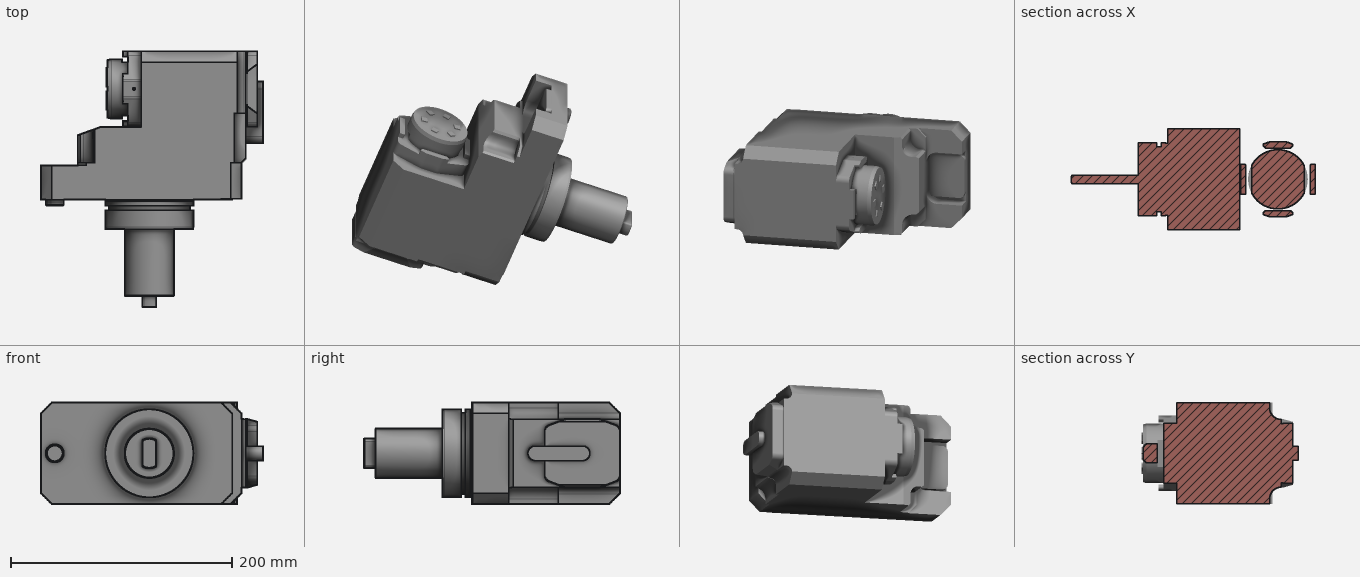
import cadquery as cq
import math

height = 92.0
half_height = height / 2
chamfer = 10.0

plate_left, plate_right = -98.0, 83.5
plate_back = 30.8
plate_raised_back = 33.4
raised_left = -65.0
raised_chamfer = 7.6
pad_height = 0.7
pad_right = 74.9

slot_half_width, slot_corner = 24.0, 9.7
slot_floor = 15.5
key_half_width, key_corner = 20.2, 5.0
key_thickness = 4.9
key_inset = 0.2

pin_x = -85.5
pin_diameter, pin_length, pin_chamfer = 16.5, 5.8, 1.2
pin_flat_depth, pin_flat_angle = 0.2, 130

flange_diameter, flange_edge_diameter = 80.0, 79.5
groove_diameter = 73.7
flange_rim_start = 1.5
groove_start, groove_end = 5.8, 9.5
flange_edge_start, flange_end = 24.8, 26.7
shank_diameter, shank_end, shank_chamfer = 45.0, 87.5, 0.7
tang_width, tang_span, tang_end = 13.0, 27.4, 97.5
tang_fillet, tang_chamfer = 2.0, 0.7

housing_back = 134.2
housing_left = -7.5
housing_right = 87.5
shoulder_back = 65.8
shoulder_slope_end = -43.8
shoulder_left_back = 58.2
front_corner_chamfer = 4.0
left_wall, left_wall_bottom = -50.8, 36.2
left_notch_radius = 9.0
left_edge_chamfer_x, left_edge_chamfer_z = 1.5, 2.0
left_lip_x, left_lip_z = 2.3, 25.5
spotface_diameter, spotface_y = 6.3, 58.2
lower_wall, lower_radius = 77.0, 10.2
upper_wall, upper_radius = 79.5, 5.8
right_ledge_z = 30.8
lower_back = 78.1

output_y = 100.1
collar_half_y = housing_back - output_y
collar_half_z = 34.0
collar_flat_half, collar_corner_z, collar_fillet = 7.9, 24.0, 5.8
collar_face = -19.5
lug_face = -23.9
lug_half_width = 13.7
lug_inner_y, lug_inner_z = 29.0, 28.0
lug_bevel = 2.3
oil_hole_diameter, oil_hole_depth, oil_hole_x = 2.0, 4.6, -14.0
disc_diameter, disc_face_diameter = 54.0, 52.2
disc_flat_start, disc_bevel_back, disc_face = -24.5, -34.5, -38.0
disc_flat_half = 24.0
tooth_count, tooth_size, tooth_height = 6, 5.8, 1.2
tooth_radius, tooth_start_angle = 16.0, -9.0
cover_face = 97.8
cover_start, cover_neck_inset = 88.8, 0.7
cover_half_z, cover_face_half_z = 31.0, 28.5
bar_width = 13.2
bar_front, bar_back, bar_face = 50.8, 106.9, 103.0


def box(x0, x1, y0, y1, z0, z1):
    return cq.Workplane("XY").box(x1 - x0, y1 - y0, z1 - z0, centered=False).translate((x0, y0, z0))


def prism_along_y(points, y0, y1):
    """Extrude an XZ outline from Y = y0 to Y = y1."""
    return cq.Workplane("XZ", origin=(0, y0, 0)).polyline(points).close().extrude(y0 - y1)


def prism_along_x(points, x0, x1):
    """Extrude a YZ outline from X = x0 to X = x1."""
    return cq.Workplane("YZ", origin=(x0, 0, 0)).polyline(points).close().extrude(x1 - x0)


def disc_along_x(diameter, x0, x1):
    return cq.Workplane("YZ", origin=(x0, output_y, 0)).circle(diameter / 2).extrude(x1 - x0)


def chamfered_block(right, y0, y1):
    """Full-height block from the plate's left end with its four long corners chamfered."""
    block = box(plate_left, right, y0, y1, -half_height, half_height)
    return block.edges("|Y").chamfer(chamfer)


def make_plate():
    plate = chamfered_block(plate_right, pad_height, plate_back)
    plate = plate.union(chamfered_block(pad_right, 0, plate_back))
    raised = box(raised_left, plate_right, pad_height, plate_raised_back, -half_height, half_height)
    raised = raised.edges("|Y and <X").chamfer(raised_chamfer)
    raised = raised.edges("|Y and >X").chamfer(chamfer)
    plate = plate.union(raised)

    slot = box(plate_left, raised_left, slot_floor, plate_raised_back, -slot_half_width, slot_half_width)
    slot = slot.edges("|Y and >X").fillet(slot_corner)
    key = box(plate_left + key_inset, raised_left, slot_floor, slot_floor + key_thickness,
              -key_half_width, key_half_width)
    key = key.edges("|Y and <X").fillet(key_corner)
    return plate.cut(slot).union(key)


def make_pin():
    pin = cq.Workplane("XZ", origin=(pin_x, 0, 0)).circle(pin_diameter / 2).extrude(pin_length)
    pin = pin.faces("<Y").chamfer(pin_chamfer)
    flat_cut = (
        cq.Workplane("XY")
        .box(pin_diameter, 2 * pin_length, pin_diameter)
        .translate((pin_diameter - pin_flat_depth, -pin_length, 0))
        .rotate((0, 0, 0), (0, 1, 0), -pin_flat_angle)
        .translate((pin_x, 0, 0))
    )
    return pin.cut(flat_cut)


def make_spindle():
    rim, edge = flange_diameter / 2, flange_edge_diameter / 2
    groove, shank = groove_diameter / 2, shank_diameter / 2
    half_profile = [
        (0, 0), (edge, 0),
        (edge, -flange_rim_start), (rim, -flange_rim_start),
        (rim, -groove_start), (groove, -groove_start),
        (groove, -groove_end), (rim, -groove_end),
        (rim, -flange_edge_start), (edge, -flange_end),
        (shank, -flange_end), (shank, -shank_end + shank_chamfer),
        (shank - shank_chamfer, -shank_end), (0, -shank_end),
    ]
    spindle = cq.Workplane("XY").polyline(half_profile).close().revolve(360, (0, 0, 0), (0, 1, 0))
    tang = cq.Workplane("XZ", origin=(0, -shank_end, 0)).circle(tang_span / 2).extrude(tang_end - shank_end)
    tang = tang.intersect(box(-tang_width / 2, tang_width / 2, -tang_end, -shank_end,
                              -tang_span, tang_span))
    tang = tang.edges("|Y").fillet(tang_fillet)
    tang = tang.faces("<Y").chamfer(tang_chamfer)
    return spindle.union(tang)


def notched_section(wall, radius, y0, y1):
    """Housing section with rounded notches along all four corners."""
    bend = radius * math.sqrt(0.5)
    left_bend = left_notch_radius * math.sqrt(0.5)
    left_floor_z = left_wall_bottom - left_notch_radius
    left_arc_x, left_arc_z = left_wall - left_notch_radius, left_wall_bottom
    right_arc_x, right_arc_z = wall + radius, right_ledge_z + radius
    upper_half = (
        cq.Workplane("XZ", origin=(0, y0, 0))
        .moveTo(raised_left, 0)
        .lineTo(raised_left, left_lip_z)
        .lineTo(raised_left + left_lip_x, left_floor_z)
        .lineTo(left_arc_x, left_floor_z)
        .threePointArc((left_arc_x + left_bend, left_arc_z - left_bend), (left_wall, left_wall_bottom))
        .lineTo(left_wall, half_height - left_edge_chamfer_z)
        .lineTo(left_wall + left_edge_chamfer_x, half_height)
        .lineTo(wall, half_height)
        .lineTo(wall, right_arc_z)
        .threePointArc((right_arc_x - bend, right_arc_z - bend), (right_arc_x, right_ledge_z))
        .lineTo(housing_right, right_ledge_z)
        .lineTo(housing_right, 0)
        .close()
        .extrude(y0 - y1)
    )
    return upper_half.union(upper_half.mirror("XY"))


def make_housing():
    housing = notched_section(lower_wall, lower_radius, plate_back, lower_back)
    housing = housing.union(notched_section(upper_wall, upper_radius, lower_back, housing_back))

    plan = [
        (raised_left, plate_raised_back),
        (raised_left, shoulder_left_back),
        (shoulder_slope_end, shoulder_back),
        (housing_left, shoulder_back),
        (housing_left, housing_back),
        (housing_right, housing_back),
        (housing_right, plate_raised_back + front_corner_chamfer),
        (housing_right - front_corner_chamfer, plate_raised_back),
    ]
    plan_prism = (
        cq.Workplane("XY", origin=(0, 0, -half_height)).polyline(plan).close().extrude(height)
    )
    side = [
        (plate_raised_back, -half_height),
        (housing_back - chamfer, -half_height),
        (housing_back, -half_height + chamfer),
        (housing_back, half_height - chamfer),
        (housing_back - chamfer, half_height),
        (plate_raised_back, half_height),
    ]
    housing = housing.intersect(plan_prism).intersect(prism_along_x(side, raised_left, housing_right))

    spotface = (
        cq.Workplane("YZ", origin=(raised_left, spotface_y, left_wall_bottom))
        .circle(spotface_diameter / 2)
        .extrude(left_wall - raised_left)
    )
    return housing.cut(spotface)


def make_collar(x0, x1, inset=0):
    """Eight-sided collar with rounded corners, centred on the output axis and shrunk by the inset."""
    quarter = [(collar_flat_half, collar_half_z - inset), (collar_half_y - inset, collar_corner_z)]
    right_half = quarter + [(y, -z) for y, z in reversed(quarter)]
    outline = right_half + [(-y, -z) for y, z in right_half]
    collar = prism_along_x([(output_y + y, z) for y, z in outline], x0, x1)
    return collar.edges("|X").fillet(collar_fillet)


def make_left_output():
    output = make_collar(collar_face, housing_left)

    lug_stock = make_collar(lug_face, collar_face)
    for side in (-1, 1):
        end_lug = cq.Workplane("XY").box(
            collar_face - lug_face, collar_half_y - lug_inner_y, 2 * lug_half_width
        ).translate((
            (collar_face + lug_face) / 2,
            output_y + side * (collar_half_y + lug_inner_y) / 2,
            0,
        ))
        end_lug = end_lug.edges("|X and " + ("<Y" if side > 0 else ">Y")).fillet(lug_bevel / 2)
        top_lug = [
            (output_y - lug_half_width, side * (lug_inner_z + lug_bevel)),
            (output_y - lug_half_width + lug_bevel, side * lug_inner_z),
            (output_y + lug_half_width - lug_bevel, side * lug_inner_z),
            (output_y + lug_half_width, side * (lug_inner_z + lug_bevel)),
            (output_y + lug_half_width, side * collar_half_z),
            (output_y - lug_half_width, side * collar_half_z),
        ]
        output = output.union(end_lug)
        output = output.union(lug_stock.intersect(prism_along_x(top_lug, lug_face, collar_face)))

    oil_hole = (
        cq.Workplane("XY", origin=(oil_hole_x, output_y, collar_half_z))
        .circle(oil_hole_diameter / 2)
        .extrude(-oil_hole_depth)
    )
    output = output.cut(oil_hole)

    output = output.union(disc_along_x(disc_diameter, disc_bevel_back, disc_flat_start))
    flatted_disc = disc_along_x(disc_diameter, disc_flat_start, collar_face).intersect(
        box(disc_flat_start, collar_face, output_y - disc_flat_half, output_y + disc_flat_half,
            -disc_diameter, disc_diameter)
    )
    output = output.union(flatted_disc)
    face_bevel = (
        cq.Workplane("YZ", origin=(disc_bevel_back, output_y, 0))
        .circle(disc_diameter / 2)
        .workplane(offset=disc_face - disc_bevel_back)
        .circle(disc_face_diameter / 2)
        .loft()
    )
    output = output.union(face_bevel)

    tooth = cq.Workplane("XY").box(2 * tooth_height, tooth_size, tooth_size)
    for index in range(tooth_count):
        angle = tooth_start_angle + index * 360 / tooth_count
        placed = tooth.translate((disc_face, tooth_radius, 0)).rotate((0, 0, 0), (1, 0, 0), angle)
        output = output.union(placed.translate((0, output_y, 0)))
    return output


def make_right_output():
    taper = [
        (housing_right, -cover_half_z),
        (cover_start, -cover_half_z),
        (cover_face, -cover_face_half_z),
        (cover_face, cover_face_half_z),
        (cover_start, cover_half_z),
        (housing_right, cover_half_z),
    ]
    taper_prism = prism_along_y(taper, output_y - collar_half_y, housing_back)
    cover = make_collar(cover_start, cover_face).intersect(taper_prism)
    neck = make_collar(housing_right, cover_start, cover_neck_inset).intersect(taper_prism)
    bar = (
        cq.Workplane("YZ", origin=(housing_right, (bar_front + bar_back) / 2, 0))
        .slot2D(bar_back - bar_front, bar_width)
        .extrude(bar_face - housing_right)
    )
    return cover.union(neck).union(bar)


result = (
    make_plate()
    .union(make_housing())
    .union(make_pin())
    .union(make_spindle())
    .union(make_left_output())
    .union(make_right_output())
)